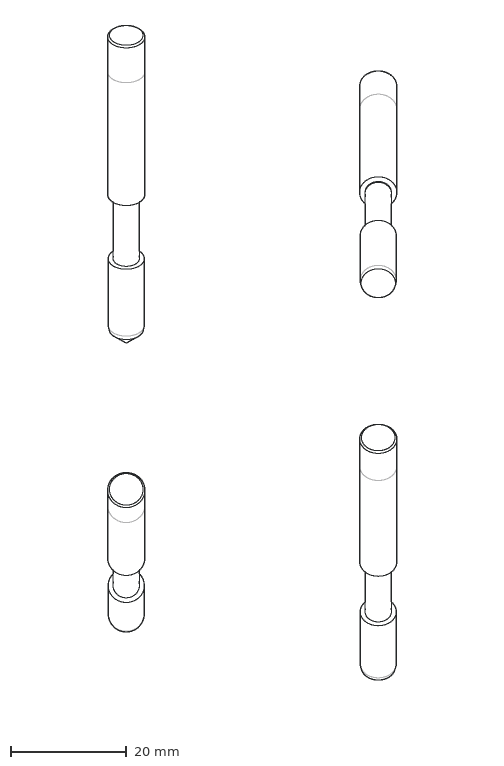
import cadquery as cq

total_length = 66.1
barrel_bottom = 31.9
collar_length = 0.25
band_length = 7.8
shoulder_height = 18.2
taper_top = 3.85
cone_height = 3.0

barrel_radius = 3.25
stem_radius = 2.28
head_radius = 3.14
cone_radius = cone_height

top_chamfer = 0.3

collar_bottom = barrel_bottom - collar_length
band_bottom = total_length - band_length


def revolve_profile(points):
    """Turn a closed (radius, height) outline about the Z axis."""
    return cq.Workplane("XZ").polyline(points).close().revolve(360, (0, 0, 0), (0, 1, 0), clean=False)


def make_barrel():
    """Chamfered barrel with a short collar at its lower end, against the stem."""
    return revolve_profile([
        (0, collar_bottom),
        (stem_radius, collar_bottom),
        (stem_radius, barrel_bottom),
        (barrel_radius, barrel_bottom),
        (barrel_radius, band_bottom),
        (barrel_radius, total_length - top_chamfer),
        (barrel_radius - top_chamfer, total_length),
        (0, total_length),
    ])


def make_plunger():
    """Slim stem and wider head, which tapers slightly before its conical point."""
    return revolve_profile([
        (0, 0),
        (cone_radius, cone_height),
        (head_radius, taper_top),
        (head_radius, shoulder_height),
        (stem_radius, shoulder_height),
        (stem_radius, collar_bottom),
        (0, collar_bottom),
    ])


barrel = make_barrel()
plunger = make_plunger()
result = cq.Compound.makeCompound([barrel.val(), plunger.val()])